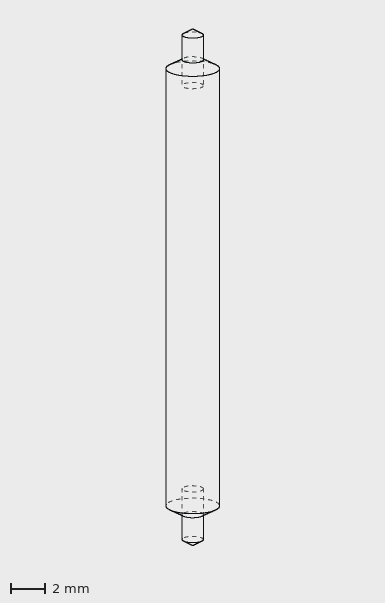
import cadquery as cq

TOTAL_LENGTH = 31.5
BARREL_RADIUS = 1.58
PIN_RADIUS = 0.63

TIP_HEIGHT = 0.38
PIN_EXPOSED = 1.5
SHOULDER_HEIGHT = 0.55
PIN_SEAT_DEPTH = 1.58

HALF_LENGTH = TOTAL_LENGTH / 2
TIP_BASE_Z = HALF_LENGTH - TIP_HEIGHT
BARREL_END_Z = TIP_BASE_Z - PIN_EXPOSED
BARREL_SHOULDER_Z = BARREL_END_Z - SHOULDER_HEIGHT
PIN_BASE_Z = BARREL_END_Z - PIN_SEAT_DEPTH


def revolve_about_z(outline):
    """Revolve a closed (radius, z) outline about the Z axis."""
    return cq.Workplane("XZ").polyline(outline).close().revolve(360, (0, 0), (0, 1))


def make_barrel():
    """Cylinder with conical ends and a blind seat for a pin at each end."""
    outline = [
        (0, -PIN_BASE_Z),
        (PIN_RADIUS, -PIN_BASE_Z),
        (PIN_RADIUS, -BARREL_END_Z),
        (BARREL_RADIUS, -BARREL_SHOULDER_Z),
        (BARREL_RADIUS, BARREL_SHOULDER_Z),
        (PIN_RADIUS, BARREL_END_Z),
        (PIN_RADIUS, PIN_BASE_Z),
        (0, PIN_BASE_Z),
    ]
    return revolve_about_z(outline)


def make_pin(end):
    """Pointed pin facing up (end = 1) or down (end = -1)."""
    outline = [
        (0, end * PIN_BASE_Z),
        (PIN_RADIUS, end * PIN_BASE_Z),
        (PIN_RADIUS, end * TIP_BASE_Z),
        (0, end * HALF_LENGTH),
    ]
    return revolve_about_z(outline)


barrel = make_barrel()
pins = [make_pin(end) for end in (-1, 1)]

result = cq.Compound.makeCompound([barrel.val(), *[pin.val() for pin in pins]])